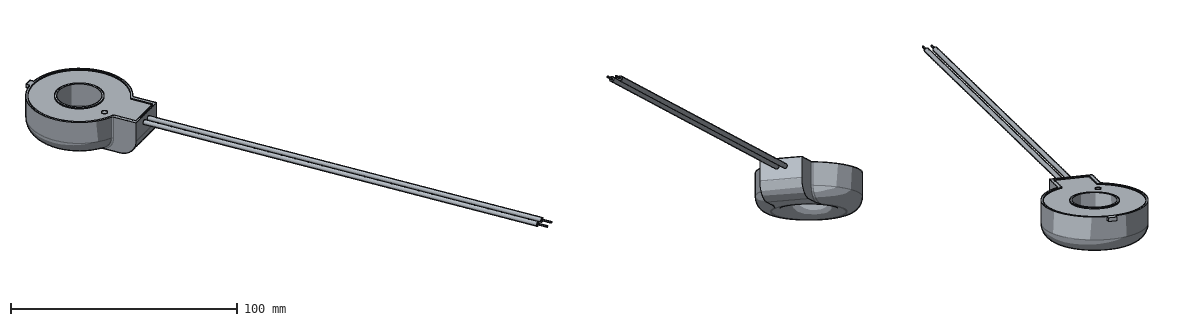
import cadquery as cq
import math

housing_radius = 23.75
housing_height = 17.5
bottom_fillet = 6.8
bore_fillet = 6.5
bore_radius = 10.0

tab_end_x = 33.3
tab_width = 20.0
tab_bottom_fillet = 8.0
tab_corner_fillet = 1.0

recess_depth = 0.5
outer_rim = 1.0
bore_rim = 1.0
tab_side_rim = 1.8
tab_end_rim = 1.0

nub_tip_x = -25.5
nub_width = 4.0
nub_height = 1.7

dimple_x = 16.1
dimple_y = -7.0
dimple_radius = 1.4
dimple_depth = 0.2

overall_length = 259.12
lead_tip_x = nub_tip_x + overall_length
bare_length = 4.8
lead_spacing = 4.0
lead_z = -3.7
insulation_diameter = 2.2
conductor_diameter = 0.75
lead_embedding = 3.0


def disc(radius, bottom_z, height):
    """Cylinder about the bore axis."""
    return cq.Workplane("XY").workplane(offset=bottom_z).circle(radius).extrude(height)


def block(start_x, end_x, width, bottom_z, height):
    """Box centred on Y = 0."""
    return cq.Workplane("XY").box(
        end_x - start_x, width, height, centered=(False, True, False)
    ).translate((start_x, 0, bottom_z))


def rod(diameter, start_x, end_x, y):
    """Round rod along X at the height of the leads."""
    return (
        cq.Workplane("YZ", origin=(start_x, y, lead_z))
        .circle(diameter / 2)
        .extrude(end_x - start_x)
    )


def make_ring():
    """Housing ring with its outer and bore edges rounded at the bottom."""
    ring = disc(housing_radius, -housing_height, housing_height)
    ring = ring.cut(disc(bore_radius, -housing_height, housing_height))
    outer_edge = cq.selectors.RadiusNthSelector(1)
    bore_edge = cq.selectors.RadiusNthSelector(0)
    ring = ring.faces("<Z").edges(outer_edge).fillet(bottom_fillet)
    return ring.faces("<Z").edges(bore_edge).fillet(bore_fillet)


def make_tab():
    """Outlet tab, starting midway through the ring wall."""
    start_x = (bore_radius + housing_radius) / 2
    tab = block(start_x, tab_end_x, tab_width, -housing_height, housing_height)
    return tab.edges(">X and <Z").fillet(tab_bottom_fillet)


def make_housing():
    """Ring, outlet tab with blended corners, and locating nub."""
    housing = make_ring().union(make_tab())
    corner_y = tab_width / 2
    corner_x = math.sqrt(housing_radius**2 - corner_y**2)
    upper_wall_z = -housing_height / 4
    for side in (-1, 1):
        corner_point = (corner_x, side * corner_y, upper_wall_z)
        corner_edge = cq.selectors.NearestToPointSelector(corner_point)
        housing = housing.edges("|Z").edges(corner_edge).fillet(tab_corner_fillet)
    nub_root_x = -housing_radius + outer_rim
    nub = block(nub_tip_x, nub_root_x, nub_width, -nub_height, nub_height)
    return housing.union(nub)


def make_recess():
    """Volume removed from the top face inside the rims."""
    ring = disc(housing_radius - outer_rim, -recess_depth, recess_depth)
    tab = block(
        bore_radius,
        tab_end_x - tab_end_rim,
        tab_width - 2 * tab_side_rim,
        -recess_depth,
        recess_depth,
    )
    bore_wall = disc(bore_radius + bore_rim, -recess_depth, recess_depth)
    return ring.union(tab).cut(bore_wall)


def make_dimple():
    """Small round volume removed below the recess floor."""
    floor_z = -recess_depth - dimple_depth
    return disc(dimple_radius, floor_z, dimple_depth).translate((dimple_x, dimple_y, 0))


def make_lead(y):
    """Insulated lead with a bare end, rooted inside the tab."""
    start_x = tab_end_x - lead_embedding
    insulation_end_x = lead_tip_x - bare_length
    insulation = rod(insulation_diameter, start_x, insulation_end_x, y)
    conductor = rod(conductor_diameter, start_x, lead_tip_x, y)
    return insulation.union(conductor)


result = make_housing().cut(make_recess()).cut(make_dimple())
for side in (-1, 1):
    result = result.union(make_lead(side * lead_spacing / 2))